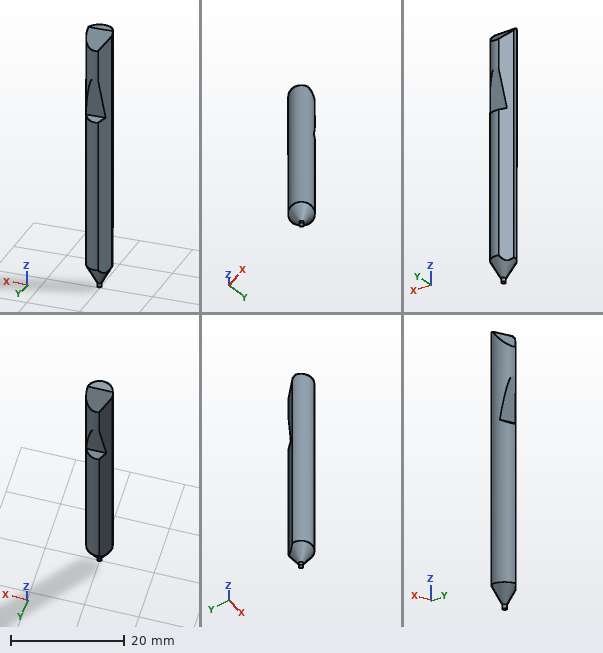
import cadquery as cq
import math

length = 50.8
shank_radius = 2.4
shank_bottom = 4.55
neck_radius = 0.43
neck_top = 1.05
neck_bottom = 0.3

flat_distance = 1.95
flat_angle = 141.0

slope_edge_y = -0.55
slope_angle = 45.0

notch_depth = 1.25
notch_top = 42.6
notch_root = 34.35
notch_bottom = 33.75

clearance = 2.55
cutter_width = 2 * (shank_radius + clearance)


def side_cutter(points):
    """Extrude a (Y, Z) outline across the full X width."""
    return cq.Workplane("YZ").polyline(points).close().extrude(cutter_width / 2, both=True)


def make_pin():
    half_profile = [
        (0, 0),
        (neck_radius, neck_bottom),
        (neck_radius, neck_top),
        (shank_radius, shank_bottom),
        (shank_radius, length),
        (0, length),
    ]
    outline = cq.Workplane("XZ").polyline(half_profile).close()
    return outline.revolve(360, (0, 0, 0), (0, 1, 0))


def make_flat_cutter():
    cutter = cq.Workplane("XY").box(clearance, cutter_width, length, centered=(False, True, False))
    return cutter.translate((flat_distance, 0, 0)).rotate((0, 0, 0), (0, 0, 1), flat_angle)


def make_slope_cutter():
    outer_y = shank_radius + clearance
    drop = (outer_y - slope_edge_y) * math.tan(math.radians(slope_angle))
    return side_cutter([(slope_edge_y, length), (outer_y, length - drop), (outer_y, length)])


def make_notch_cutter():
    outer_y = shank_radius + clearance
    return side_cutter([
        (outer_y, notch_top),
        (shank_radius, notch_top),
        (shank_radius - notch_depth, notch_root),
        (shank_radius, notch_bottom),
        (outer_y, notch_bottom),
    ])


result = make_pin().cut(make_flat_cutter()).cut(make_slope_cutter()).cut(make_notch_cutter())